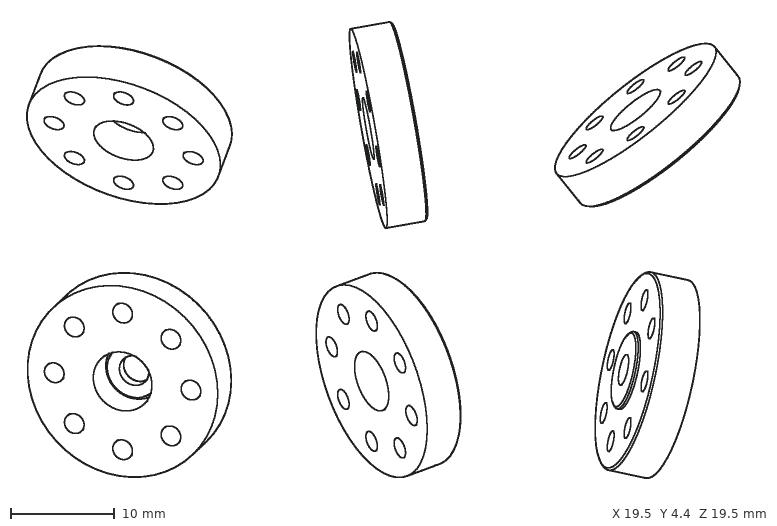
import cadquery as cq

disc_diameter = 19.5
disc_thickness = 4.0
disc_chamfer = 0.2

boss_diameter = 7.6
overall_depth = 4.4
boss_chamfer = 0.18

recess_diameter = 6.0
seat_diameter = 5.5
seat_depth = 3.2
groove_depth = 0.3
bore_diameter = 3.0

hole_count = 8
hole_diameter = 2.0
hole_circle_diameter = 14.0


def revolved_body():
    """Disc, boss, recess, groove and bore as one section turned about the Y axis."""
    disc_radius = disc_diameter / 2
    boss_radius = boss_diameter / 2
    recess_radius = recess_diameter / 2
    seat_radius = seat_diameter / 2
    groove_floor = seat_depth + groove_depth
    bore_radius = bore_diameter / 2
    section = (
        cq.Workplane("XY")
        .moveTo(recess_radius, 0)
        .lineTo(disc_radius, 0)
        .lineTo(disc_radius, disc_thickness - disc_chamfer)
        .lineTo(disc_radius - disc_chamfer, disc_thickness)
        .lineTo(boss_radius, disc_thickness)
        .lineTo(boss_radius, overall_depth - boss_chamfer)
        .lineTo(boss_radius - boss_chamfer, overall_depth)
        .lineTo(bore_radius, overall_depth)
        .lineTo(bore_radius, seat_depth)
        .lineTo(seat_radius, seat_depth)
        .lineTo(seat_radius, groove_floor)
        .lineTo(recess_radius, groove_floor)
        .close()
    )
    return section.revolve(360, (0, 0, 0), (0, 1, 0))


def ring_holes():
    """Cutters for the holes, running from the front face to beyond the back."""
    return (
        cq.Workplane("XZ")
        .polarArray(hole_circle_diameter / 2, 0, 360, hole_count)
        .circle(hole_diameter / 2)
        .extrude(-overall_depth)
    )


result = revolved_body().cut(ring_holes())